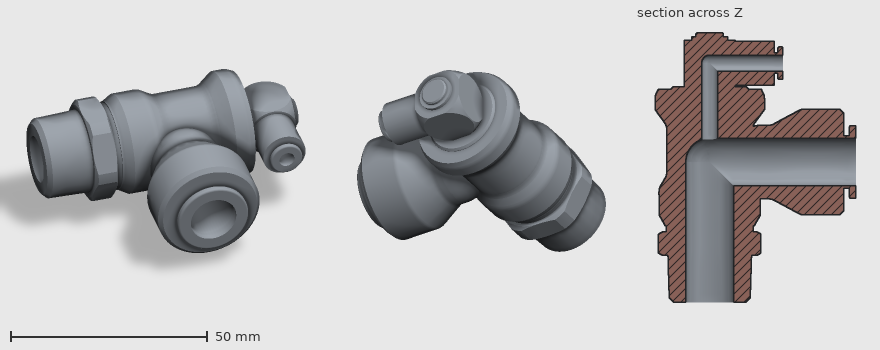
import cadquery as cq
import math


thread_length = 11.9
thread_root_radius = 10.7
thread_taper = 1 / 32
thread_chamfer = 1.2

hex_height = 6.1
hex_across_flats = 24.15
hex_corner_radius = 13.1
hex_chamfer_radius = 12.0
hex_chamfer_height = 0.6
hex_end = thread_length + hex_height

neck_radius = 11.2
neck_end = hex_end + 1.45

body_radius = 12.95
waist_radius = 11.0
head_radius = 14.0
body_cone_angle = 30
head_cone_angle = 36
bend_radius = 3.0
body_start_radius = 11.5
body_start_rounding = 1.0
body_cylinder_start = 22.2
body_cylinder_end = 28.9
head_start = 49.05
head_bevel_start = 52.4
head_bevel_radius = 13.2
head_rounding = 2.5
head_end = 54.2

collar_radius = 9.8
collar_height = 0.7
collar_chamfer = 0.55
collar_end = head_end + collar_height

block_width = 13.0
block_length = 11.9
block_face_radius = 6.4
block_center = collar_end + block_length / 2
block_end = collar_end + block_length

cap_base_radius = 4.6
cap_base_height = 0.9
cap_radius = 3.6
cap_chamfer = 0.35
total_length = 68.6

branch_center = 35.7
branch_neck_radius = 9.45
branch_ball_center = 13.45
branch_cone_start = 15.8
branch_cone_end = 23.3
branch_radius = 13.5
branch_bend_radius = 2.05
branch_end = 34.1
branch_chamfer = 1.0
branch_sleeve_radius = 6.7
branch_flange_start = 35.45
branch_flange_radius = 9.3
branch_flange_end = 37.25
branch_flange_rounding = 0.515

pilot_radius = 5.6
pilot_end = 16.5
pilot_sleeve_radius = 2.7
pilot_flange_start = 17.3
pilot_flange_radius = 4.2
pilot_flange_end = 18.65
pilot_flange_rounding = 0.4

main_bore_radius = 6.05
pilot_bore_radius = 2.0


def turned(corners):
    """Solid of revolution about the Y axis.

    Each corner is (position along the axis, radius) or, for a rounded corner,
    (position along the axis, radius, rounding radius).
    """
    first, last = corners[0], corners[-1]
    profile = cq.Workplane("XY").moveTo(0, first[0]).lineTo(first[1], first[0])
    for before, corner, after in zip(corners, corners[1:], corners[2:]):
        point = cq.Vector(corner[1], corner[0])
        if len(corner) == 2:
            profile = profile.lineTo(point.x, point.y)
            continue
        rounding = corner[2]
        to_before = (cq.Vector(before[1], before[0]) - point).normalized()
        to_after = (cq.Vector(after[1], after[0]) - point).normalized()
        half_angle = to_before.getAngle(to_after) / 2
        setback = rounding / math.tan(half_angle)
        apex_gap = rounding / math.sin(half_angle) - rounding
        start = point + to_before * setback
        middle = point + (to_before + to_after).normalized() * apex_gap
        end = point + to_after * setback
        profile = profile.lineTo(start.x, start.y)
        profile = profile.threePointArc((middle.x, middle.y), (end.x, end.y))
    profile = profile.lineTo(last[1], last[0]).lineTo(0, last[0]).close()
    return profile.revolve(360, (0, 0, 0), (0, 1, 0))


def turned_along_x(corners, center):
    """The same, but about an axis parallel to X at the height Y = center."""
    return turned(corners).rotate((0, 0, 0), (0, 0, 1), -90).translate((0, center, 0))


def ball(radius, x, y):
    """Sphere in the plane Z = 0, turned so that its seam lies away from the ports."""
    return cq.Workplane("XY").sphere(radius).rotate((0, 0, 0), (0, 1, 0), 180).translate((x, y, 0))


def cylinder(radius, start, end):
    return turned([(start, radius), (end, radius)])


def threaded_end():
    tip_radius = thread_root_radius - thread_taper * (thread_length - thread_chamfer)
    return turned([
        (0, tip_radius - thread_chamfer),
        (thread_chamfer, tip_radius),
        (thread_length, thread_root_radius),
    ])


def hexagon():
    """Hexagon with flats facing +Z and -Z and bevelled, turned-down corners."""
    prism = (
        cq.Workplane("XZ", origin=(0, hex_end, 0))
        .polygon(6, hex_across_flats / math.cos(math.pi / 6))
        .extrude(hex_height)
    )
    envelope = turned([
        (thread_length, hex_chamfer_radius),
        (thread_length + hex_chamfer_height, hex_corner_radius),
        (hex_end - hex_chamfer_height, hex_corner_radius),
        (hex_end, hex_chamfer_radius),
    ])
    return prism.intersect(envelope)


def body():
    lower_slope = math.tan(math.radians(body_cone_angle))
    head_slope = math.tan(math.radians(head_cone_angle))
    entry_cone_end = body_cylinder_start - (body_radius - body_start_radius) / lower_slope
    waist_start = body_cylinder_end + (body_radius - waist_radius) / lower_slope
    waist_end = head_start - (head_radius - waist_radius) / head_slope
    return turned([
        (neck_end, body_start_radius),
        (entry_cone_end, body_start_radius, body_start_rounding),
        (body_cylinder_start, body_radius),
        (body_cylinder_end, body_radius, bend_radius),
        (waist_start, waist_radius, bend_radius),
        (waist_end, waist_radius, bend_radius),
        (head_start, head_radius),
        (head_bevel_start, head_radius, head_rounding),
        (head_end, head_bevel_radius),
    ])


def collar():
    return turned([
        (head_end, collar_radius),
        (collar_end - collar_chamfer, collar_radius),
        (collar_end, collar_radius - collar_chamfer),
    ])


def pilot_block():
    """Block whose corners are rounded off by a ball about its center."""
    ball_radius = math.hypot(block_width / 2, block_face_radius)
    block = cq.Workplane("XY").box(block_width, block_length, block_width)
    return block.translate((0, block_center, 0)).intersect(ball(ball_radius, 0, block_center))


def cap():
    cap_base_end = block_end + cap_base_height
    return turned([
        (block_end, cap_base_radius),
        (cap_base_end, cap_base_radius),
        (cap_base_end, cap_radius),
        (total_length - cap_chamfer, cap_radius),
        (total_length, cap_radius - cap_chamfer),
    ])


def branch():
    """Large tube port: ball-ended neck, cone, cylinder and release sleeve."""
    port = turned_along_x([
        (branch_ball_center, branch_neck_radius),
        (branch_cone_start, branch_neck_radius, branch_bend_radius),
        (branch_cone_end, branch_radius, branch_bend_radius),
        (branch_end - branch_chamfer, branch_radius),
        (branch_end, branch_radius - branch_chamfer),
        (branch_end, branch_sleeve_radius),
        (branch_flange_start, branch_sleeve_radius),
        (branch_flange_start, branch_flange_radius, branch_flange_rounding),
        (branch_flange_end, branch_flange_radius, branch_flange_rounding),
        (branch_flange_end, branch_sleeve_radius),
    ], branch_center)
    return port.union(ball(branch_neck_radius, branch_ball_center, branch_center))


def pilot_port():
    """Small tube port on the pilot block, with its release sleeve."""
    return turned_along_x([
        (0, pilot_radius),
        (pilot_end, pilot_radius),
        (pilot_end, pilot_sleeve_radius),
        (pilot_flange_start, pilot_sleeve_radius),
        (pilot_flange_start, pilot_flange_radius, pilot_flange_rounding),
        (pilot_flange_end, pilot_flange_radius, pilot_flange_rounding),
        (pilot_flange_end, pilot_sleeve_radius),
    ], block_center)


def elbow_passage(radius, start, corner, end):
    """Bore along +Y from start to corner, turning there to +X with a ball end."""
    inlet = cylinder(radius, start, corner)
    outlet = turned_along_x([(0, radius), (end, radius)], corner)
    return inlet.union(outlet).union(ball(radius, 0, corner))


outside = (
    threaded_end()
    .union(hexagon())
    .union(cylinder(neck_radius, hex_end, neck_end))
    .union(body())
    .union(collar())
    .union(pilot_block())
    .union(cap())
    .union(branch())
    .union(pilot_port())
)

main_passage = elbow_passage(main_bore_radius, 0, branch_center, branch_flange_end)
pilot_passage = elbow_passage(pilot_bore_radius, branch_center, block_center, pilot_flange_end)
result = outside.cut(main_passage).cut(pilot_passage)